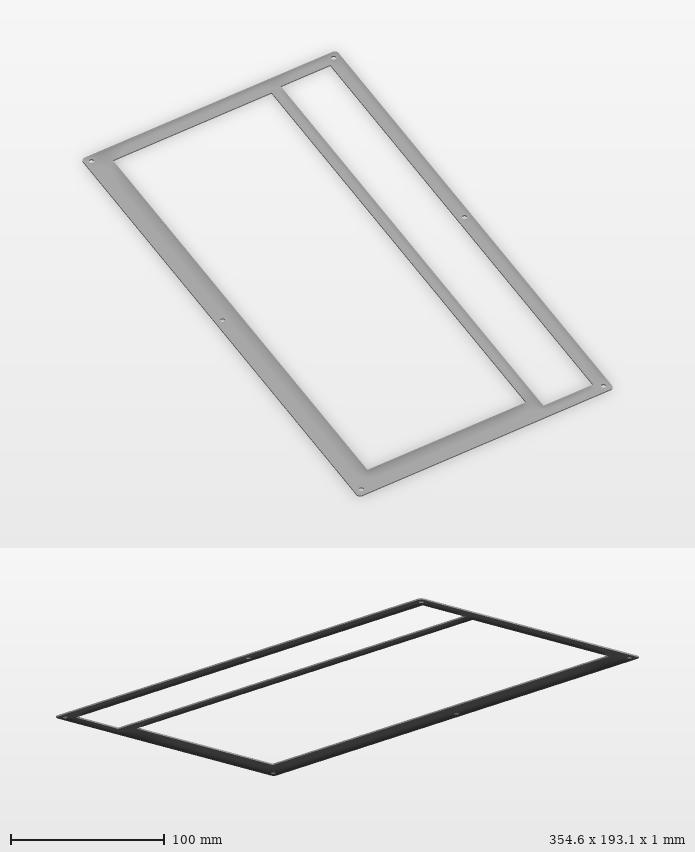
import cadquery as cq

PLATE_LENGTH = 354.6
PLATE_WIDTH = 193.1
PLATE_THICKNESS = 1.0
CORNER_RADIUS = 2.75

HOLE_DIAMETER = 3.4
HOLE_END_INSET = 5.0
HOLE_SIDE_INSET = 5.0
MIDDLE_HOLE_X = -5.08

REAR_WINDOW_LENGTH = 335.6
REAR_WINDOW_WIDTH = 37.5
REAR_BORDER = 10.2

CROSSBAR_WIDTH = 8.1

FRONT_WINDOW_LENGTH = 325.1
FRONT_WINDOW_WIDTH = 120.0
FRONT_WINDOW_LEFT_BORDER = 11.5

RIGHT_EDGE = PLATE_LENGTH / 2
LEFT_EDGE = -RIGHT_EDGE
REAR_EDGE = PLATE_WIDTH / 2
REAR_WINDOW_LEFT = -REAR_WINDOW_LENGTH / 2
REAR_WINDOW_REAR = REAR_EDGE - REAR_BORDER
FRONT_WINDOW_LEFT = LEFT_EDGE + FRONT_WINDOW_LEFT_BORDER
FRONT_WINDOW_REAR = REAR_WINDOW_REAR - REAR_WINDOW_WIDTH - CROSSBAR_WIDTH


def make_plate():
    """Flat plate with rounded corners, its underside on Z = 0."""
    plate = cq.Workplane("XY").box(
        PLATE_LENGTH, PLATE_WIDTH, PLATE_THICKNESS, centered=(True, True, False)
    )
    return plate.edges("|Z").fillet(CORNER_RADIUS)


def make_window(left, rear, length, width):
    """Cutter for a sharp-cornered window, placed by its left and rear edges."""
    return (
        cq.Workplane("XY")
        .center(left + length / 2, rear - width / 2)
        .rect(length, width)
        .extrude(PLATE_THICKNESS)
    )


def make_mounting_holes():
    """Cutters for the two rows of three through holes."""
    end_x = RIGHT_EDGE - HOLE_END_INSET
    row_y = REAR_EDGE - HOLE_SIDE_INSET
    centres = [(x, y) for y in (-row_y, row_y) for x in (-end_x, MIDDLE_HOLE_X, end_x)]
    return (
        cq.Workplane("XY")
        .pushPoints(centres)
        .circle(HOLE_DIAMETER / 2)
        .extrude(PLATE_THICKNESS)
    )


rear_window = make_window(
    REAR_WINDOW_LEFT, REAR_WINDOW_REAR, REAR_WINDOW_LENGTH, REAR_WINDOW_WIDTH
)
front_window = make_window(
    FRONT_WINDOW_LEFT, FRONT_WINDOW_REAR, FRONT_WINDOW_LENGTH, FRONT_WINDOW_WIDTH
)

result = make_plate().cut(rear_window).cut(front_window).cut(make_mounting_holes())